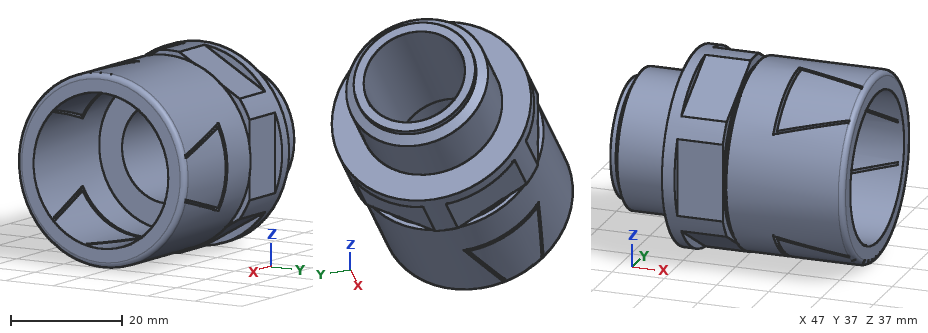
import cadquery as cq
import math

bore_dia = 18.8
tip_dia = 22.5
spigot_dia = 26.3
flange_dia = 37.0
neck_dia = 33.2
neck_hex_side_dia = 33.35
neck_sleeve_side_dia = 33.65
sleeve_dia = 35.6
socket_dia = 28.5

tip_end = 1.05
spigot_taper_end = 2.05
flange_start = 12.5
flange_end = 14.9
hex_end = 23.6
neck_floor_start = 23.8
neck_floor_end = 24.2
sleeve_start = 24.55
length = 47.0
rim_round = 1.05

across_flats = 33.95
flat_count = 6

tab_count = 3
slit_start = 32.5
slit_end = length - rim_round
cross_slit_width = 0.6
side_slit_width = 0.45
tab_base_half_angle = 26.8
tab_tip_half_angle = 14.0


def turned_body():
    """Revolve the outer profile, then bore it from end to end."""
    rim_round_start = length - rim_round
    sleeve_radius = sleeve_dia / 2
    arc_offset = rim_round * math.sin(math.radians(45))
    arc_middle = (rim_round_start + arc_offset, sleeve_radius - rim_round + arc_offset)
    outer_profile = [
        (0, 0),
        (0, tip_dia / 2),
        (tip_end, tip_dia / 2),
        (spigot_taper_end, spigot_dia / 2),
        (flange_start, spigot_dia / 2),
        (flange_start, flange_dia / 2),
        (hex_end, flange_dia / 2),
        (hex_end, neck_hex_side_dia / 2),
        (neck_floor_start, neck_dia / 2),
        (neck_floor_end, neck_dia / 2),
        (sleeve_start, neck_sleeve_side_dia / 2),
        (sleeve_start, sleeve_radius),
        (rim_round_start, sleeve_radius),
    ]
    body = (
        cq.Workplane("XY")
        .polyline(outer_profile)
        .threePointArc(arc_middle, (length, sleeve_radius - rim_round))
        .lineTo(length, 0)
        .close()
        .revolve(360, (0, 0), (1, 0))
    )
    bore = cq.Workplane("YZ").circle(bore_dia / 2).extrude(length)
    socket_plane = cq.Workplane("YZ", origin=(sleeve_start, 0, 0))
    socket = socket_plane.circle(socket_dia / 2).extrude(length - sleeve_start)
    return body.cut(bore).cut(socket)


def flat_cutter():
    """Block that mills the wrench flat facing +Y."""
    return cq.Workplane("XY").box(
        hex_end - flange_end, flange_dia, flange_dia, centered=(False, False, True)
    ).translate((flange_end, across_flats / 2, 0))


def slit_cutter():
    """Three-sided slit around the tab facing +Y, with walls parallel to Y."""
    base_half = sleeve_dia / 2 * math.sin(math.radians(tab_base_half_angle))
    tip_half = sleeve_dia / 2 * math.sin(math.radians(tab_tip_half_angle))
    side_slope = (base_half - tip_half) / (slit_end - slit_start)
    side_width = side_slit_width * math.hypot(1, side_slope)
    inner_start = slit_start + cross_slit_width
    inner_base_half = base_half - side_slope * cross_slit_width - side_width
    inner_tip_half = tip_half - side_width
    outline = [
        (slit_start, -base_half),
        (slit_end, -tip_half),
        (slit_end, -inner_tip_half),
        (inner_start, -inner_base_half),
        (inner_start, inner_base_half),
        (slit_end, inner_tip_half),
        (slit_end, tip_half),
        (slit_start, base_half),
    ]
    return cq.Workplane("XZ").polyline(outline).close().extrude(-sleeve_dia / 2)


def cut_around_axis(body, cutter, count):
    """Cut evenly spaced copies of the cutter around the X axis."""
    for index in range(count):
        body = body.cut(cutter.rotate((0, 0, 0), (1, 0, 0), index * 360 / count))
    return body


result = turned_body()
result = cut_around_axis(result, flat_cutter(), flat_count)
result = cut_around_axis(result, slit_cutter(), tab_count)